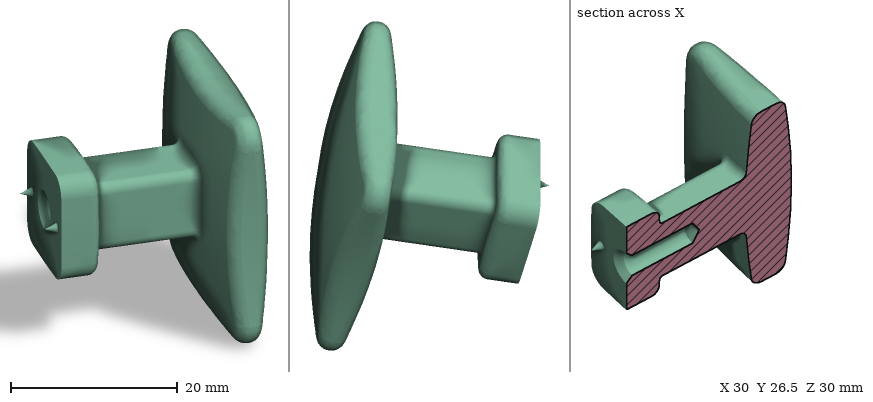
import cadquery as cq
import math


plate_size = 30.0
plate_waist = 28.62
plate_corner_radius = 3.0
plate_edge_fillet = 1.5
plate_thickness = 7.05
plate_back = 25.0
plate_front = plate_back - plate_thickness
plate_dome_radius = 93.0

stem_size = 8.95
stem_corner_radius = 1.25
stem_plate_fillet = 0.9
stem_foot_fillet = 0.45

foot_size = 13.98
foot_corner_reach = 13.83
foot_corner_radius = 2.4
foot_height = 5.15
foot_dome_radius = 120.0
foot_edge_fillet = 1.2

hole_radius = 1.65
countersink_radius = 2.52
hole_depth = 10.0
drill_point_angle = 118.0

spike_spacing = 10.0
spike_radius = 0.6
spike_length = 1.5


def sketch_plane(y):
    """Sketch plane parallel to XZ at the given Y, extruding toward +Y."""
    return cq.Workplane(cq.Plane(origin=(0, y, 0), xDir=(1, 0, 0), normal=(0, 1, 0)))


def dome_ball(radius, center_y):
    return cq.Workplane("XY").sphere(radius).translate((0, center_y, 0))


def quarter_turns(point, turns):
    """Rotate a 2D point clockwise by a number of quarter turns."""
    x, y = point
    for _ in range(turns):
        x, y = y, -x
    return x, y


def curved_square(plane, reach, waist, corner_radius):
    """Square outline with rounded corners joined tangentially by shallow side arcs.

    reach is the width across the corner arcs, waist the width at mid-side:
    a waist below the reach hollows the sides, a larger one makes them bulge.
    """
    corner_center = reach / 2 - corner_radius
    rise = waist / 2 - corner_center
    side_radius = (corner_center**2 + rise**2 - corner_radius**2) / (2 * (corner_radius - rise))
    center_distance = side_radius + corner_radius
    tangent = (
        corner_center - corner_radius * corner_center / center_distance,
        corner_center + corner_radius * (rise + side_radius) / center_distance,
    )
    side_start = (-tangent[0], tangent[1])
    side_middle = (0, waist / 2)
    arc_middle = corner_center + corner_radius * math.sqrt(0.5)
    corner_middle = (arc_middle, arc_middle)
    corner_end = (tangent[1], tangent[0])

    outline = plane.moveTo(*side_start)
    for turns in range(4):
        outline = outline.threePointArc(quarter_turns(side_middle, turns), quarter_turns(tangent, turns))
        outline = outline.threePointArc(quarter_turns(corner_middle, turns), quarter_turns(corner_end, turns))
    return outline.close()


def handle_plate():
    """Hollow-sided square cut to a lens by two spheres, with its rim rounded."""
    plate = curved_square(sketch_plane(plate_front), plate_size, plate_waist, plate_corner_radius)
    plate = plate.extrude(plate_thickness)
    plate = plate.intersect(dome_ball(plate_dome_radius, plate_back - plate_dome_radius))
    plate = plate.intersect(dome_ball(plate_dome_radius, plate_front + plate_dome_radius))
    return plate.edges("not |Y").fillet(plate_edge_fillet)


def foot():
    """Bulging square block with a slightly domed and rounded back."""
    block = curved_square(sketch_plane(0), foot_corner_reach, foot_size, foot_corner_radius)
    block = block.extrude(foot_height)
    block = block.intersect(dome_ball(foot_dome_radius, foot_height - foot_dome_radius))
    return block.faces(">Y").edges().fillet(foot_edge_fillet)


def stem():
    """Square post reaching from inside the foot to the middle of the plate."""
    start = foot_height / 2
    end = plate_back - plate_thickness / 2
    post = sketch_plane(start).rect(stem_size, stem_size).extrude(end - start)
    return post.edges("|Y").fillet(stem_corner_radius)


def stem_joint(y):
    """Selector for the edges where the stem meets the domed face whose peak is at y."""
    margin = 0.45
    reach = stem_size / 2 + margin
    return cq.selectors.BoxSelector((-reach, y - margin, -reach), (reach, y + margin, reach))


def screw_hole():
    """Countersunk blind bore with a conical drill point."""
    countersink_depth = countersink_radius - hole_radius
    point_depth = hole_radius / math.tan(math.radians(drill_point_angle / 2))
    profile = (
        cq.Workplane("XY")
        .lineTo(countersink_radius, 0)
        .lineTo(hole_radius, countersink_depth)
        .lineTo(hole_radius, hole_depth)
        .lineTo(0, hole_depth + point_depth)
        .close()
    )
    return profile.revolve(360, (0, 0, 0), (0, 1, 0))


def spike(x):
    cone = cq.Solid.makeCone(spike_radius, 0, spike_length, pnt=cq.Vector(x, 0, 0), dir=cq.Vector(0, -1, 0))
    return cq.Workplane(obj=cone)


knob = handle_plate().union(stem()).union(foot())
knob = knob.edges(stem_joint(foot_height)).fillet(stem_foot_fillet)
knob = knob.edges(stem_joint(plate_front)).fillet(stem_plate_fillet)
knob = knob.cut(screw_hole())
for side in (-1, 1):
    knob = knob.union(spike(side * spike_spacing / 2))

result = knob